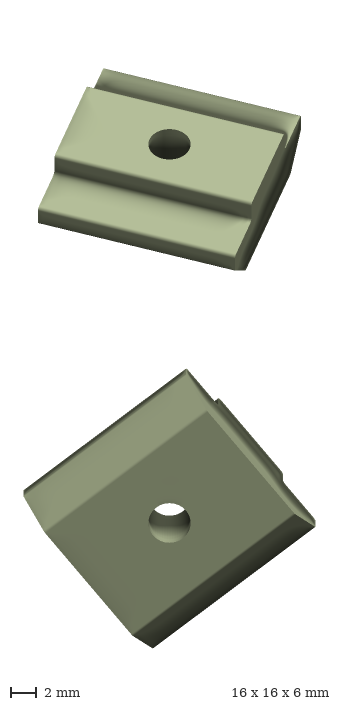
import cadquery as cq

length = 16.0
width = 16.0
height = 6.0

neck_width = 8.0
neck_height = 1.9
base_width = 10.88
taper_height = 2.5
edge_radius = 0.3

hole_diameter = 3.25

shoulder_z = height - neck_height


def make_body():
    """Extrude the T-shaped section along X and round its long edges."""
    right_half = [
        (base_width / 2, 0),
        (width / 2, taper_height),
        (width / 2, shoulder_z),
        (neck_width / 2, shoulder_z),
        (neck_width / 2, height),
    ]
    left_half = [(-y, z) for y, z in reversed(right_half)]
    section = cq.Workplane("YZ").polyline(right_half + left_half).close()
    return section.extrude(length / 2, both=True).edges("|X").fillet(edge_radius)


def make_hole():
    """Vertical through hole at the centre of the block."""
    return cq.Workplane("XY").circle(hole_diameter / 2).extrude(height)


result = make_body().cut(make_hole())